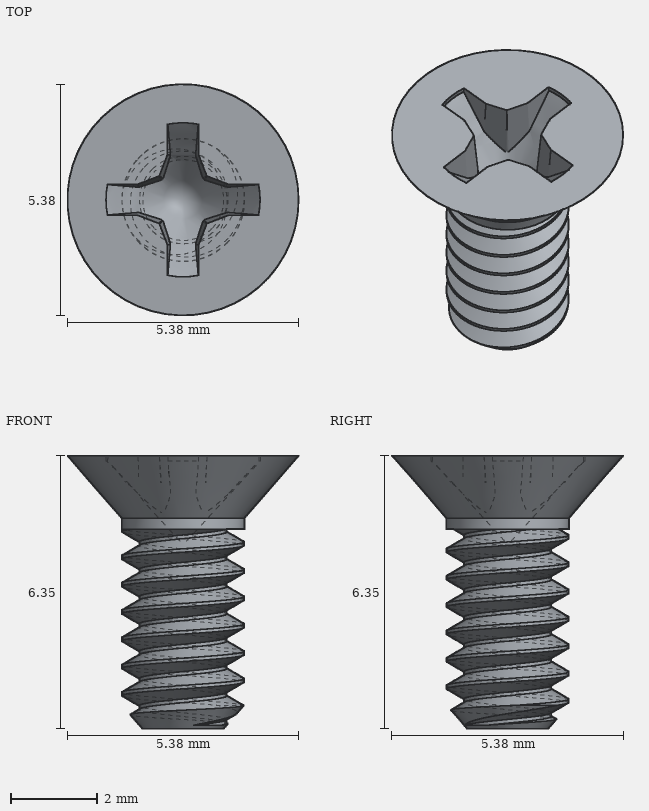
import cadquery as cq
import math

total_height = 6.35
head_diameter = 5.38
head_radius = head_diameter / 2
head_half_angle = math.radians(41)

collar_radius = 1.43
collar_height = 0.255

pitch = 0.635
crest_radius = 1.42
crest_flat = pitch / 8
root_radius = 1.015
flank_angle = math.radians(30)
crest_phase = 0.495
root_overlap = 0.02
turns_below_tip = 2
tip_radius = 0.94
trim_clearance = 0.065

recess_radius = 1.79
recess_edge_depth = 0.115
recess_depth = 2.065
arm_half_width = 0.36
arm_knee = 1.05
inner_corner = 0.55
arm_overrun = 0.255
arm_reach = recess_radius + arm_overrun
recess_draft = 4.5

head_height = (head_radius - collar_radius) / math.tan(head_half_angle)
head_bottom = total_height - head_height
collar_bottom = head_bottom - collar_height


def revolved(points):
    """Revolve an outline of (radius, height) points about the screw axis."""
    return cq.Workplane("XZ").polyline(points).close().revolve(360, (0, 0), (0, 1))


def make_head():
    return revolved([
        (0, collar_bottom),
        (collar_radius, collar_bottom),
        (collar_radius, head_bottom),
        (head_radius, total_height),
        (0, total_height),
    ])


def make_thread_ridge():
    start = crest_phase - turns_below_tip * pitch
    turns = math.ceil((head_bottom - start) / pitch)
    base_radius = root_radius - root_overlap
    crest_half = crest_flat / 2
    base_half = crest_half + (crest_radius - base_radius) * math.tan(flank_angle)
    helix = cq.Wire.makeHelix(pitch, turns * pitch, root_radius, cq.Vector(0, 0, start))
    profile = cq.Workplane("XZ").polyline([
        (base_radius, start - base_half),
        (crest_radius, start - crest_half),
        (crest_radius, start + crest_half),
        (base_radius, start + base_half),
    ]).close()
    return profile.sweep(cq.Workplane(helix), isFrenet=True)


def make_shank():
    """Threaded core, trimmed to a conical tip."""
    core = cq.Workplane("XY").circle(root_radius).extrude(head_bottom)
    envelope_radius = crest_radius + trim_clearance
    chamfer_height = (envelope_radius - tip_radius) / math.tan(head_half_angle)
    envelope = revolved([
        (0, 0),
        (tip_radius, 0),
        (envelope_radius, chamfer_height),
        (envelope_radius, head_bottom),
        (0, head_bottom),
    ])
    return core.union(make_thread_ridge()).intersect(envelope)


def make_recess():
    """Drafted cross, limited below by a cone."""
    arm_side = [
        (arm_reach, -arm_half_width),
        (arm_reach, arm_half_width),
        (arm_knee, arm_half_width),
        (inner_corner, inner_corner),
        (arm_half_width, arm_knee),
    ]
    outline = []
    for quarter in range(4):
        for x, y in arm_side:
            for _ in range(quarter):
                x, y = -y, x
            outline.append((x, y))
    cross = (
        cq.Workplane("XY", origin=(0, 0, total_height))
        .polyline(outline).close()
        .extrude(-recess_depth, taper=recess_draft)
    )
    floor = revolved([
        (0, total_height),
        (recess_radius, total_height),
        (recess_radius, total_height - recess_edge_depth),
        (0, total_height - recess_depth),
    ])
    return cross.intersect(floor)


result = make_shank().union(make_head()).cut(make_recess())